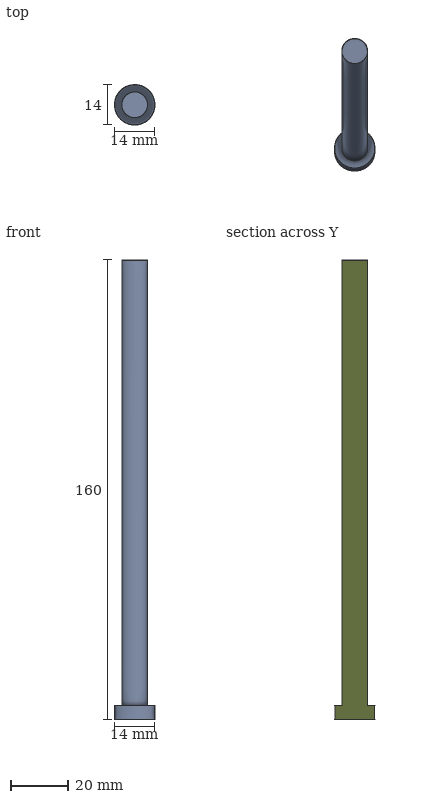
import cadquery as cq

total_length = 160.0
head_diameter = 14.0
head_height = 5.0
shank_diameter = 9.0

head = cq.Workplane("XY").circle(head_diameter / 2).extrude(head_height)
shank = cq.Workplane("XY").circle(shank_diameter / 2).extrude(total_length)

result = head.union(shank)